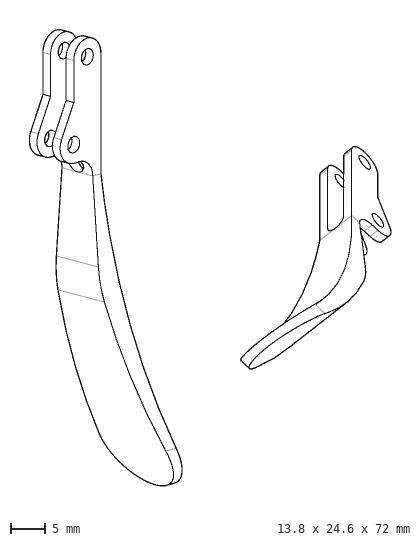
import cadquery as cq
import math

height = 71.95

fork_width = 6.3
slot_width = 3.2
fork_base_z = 50.8
web_front_y = -1.7
eye_radius = 2.84
hole_diameter = 2.45
upper_eye_y = -eye_radius
upper_eye_z = height - eye_radius
lower_eye_y = -2 * eye_radius
lower_eye_z = 56.35
flank_top_z = 62.75
lower_eye_bottom_z = lower_eye_z - eye_radius
inner_fillet_radius = lower_eye_bottom_z - fork_base_z

blade_width = 13.75
back_tip_y = 16.1
front_tip_y = 14.6
back_radius = 111.55
front_radius = 110.1
bend_top_z = 37.2
bend_bottom_z = 31.8
bend_bottom_y = -0.9


def arc_midpoint(start, end, radius):
    """Middle of the minor arc that bulges to the right of start-to-end."""
    dy = end[0] - start[0]
    dz = end[1] - start[1]
    chord = math.hypot(dy, dz)
    sagitta = radius - math.sqrt(radius**2 - (chord / 2) ** 2)
    middle_y = (start[0] + end[0]) / 2 + sagitta * dz / chord
    middle_z = (start[1] + end[1]) / 2 - sagitta * dy / chord
    return middle_y, middle_z


def make_fork():
    flank_angle = math.asin(eye_radius / (flank_top_z - lower_eye_z))
    tangent_y = lower_eye_y - eye_radius * math.cos(flank_angle)
    tangent_z = lower_eye_z + eye_radius * math.sin(flank_angle)
    middle_angle = (math.pi / 2 - flank_angle) / 2
    lower_arc_middle = (
        lower_eye_y - eye_radius * math.sin(middle_angle),
        lower_eye_z - eye_radius * math.cos(middle_angle),
    )
    plate = (
        cq.Workplane("YZ")
        .moveTo(0, fork_base_z)
        .lineTo(0, upper_eye_z)
        .threePointArc((upper_eye_y, height), (-2 * eye_radius, upper_eye_z))
        .lineTo(lower_eye_y, flank_top_z)
        .lineTo(tangent_y, tangent_z)
        .threePointArc(lower_arc_middle, (lower_eye_y, lower_eye_bottom_z))
        .lineTo(web_front_y - inner_fillet_radius, lower_eye_bottom_z)
        .tangentArcPoint((web_front_y, fork_base_z), relative=False)
        .close()
        .extrude(fork_width / 2, both=True)
    )
    holes = (
        cq.Workplane("YZ")
        .pushPoints([(upper_eye_y, upper_eye_z), (lower_eye_y, lower_eye_z)])
        .circle(hole_diameter / 2)
        .extrude(fork_width, both=True)
    )
    slot_radius = slot_width / 2
    slot_end_z = fork_base_z + slot_radius
    slot = (
        cq.Workplane("XZ")
        .moveTo(-slot_radius, height)
        .lineTo(-slot_radius, slot_end_z)
        .threePointArc((0, fork_base_z), (slot_radius, slot_end_z))
        .lineTo(slot_radius, height)
        .close()
        .extrude(height, both=True)
    )
    return plate.cut(holes).cut(slot)


def make_blade():
    back_top = (0, fork_base_z)
    back_tip = (back_tip_y, 0)
    front_tip = (front_tip_y, 0)
    bend_bottom = (bend_bottom_y, bend_bottom_z)
    profile = (
        cq.Workplane("YZ")
        .moveTo(*front_tip)
        .lineTo(*back_tip)
        .threePointArc(arc_midpoint(back_top, back_tip, back_radius), back_top)
        .lineTo(web_front_y, fork_base_z)
        .lineTo(web_front_y, bend_top_z)
        .tangentArcPoint(bend_bottom, relative=False)
        .threePointArc(arc_midpoint(bend_bottom, front_tip, front_radius), front_tip)
        .close()
        .extrude(blade_width, both=True)
    )

    tip_radius = blade_width / 2
    corner_x = fork_width / 2
    corner_height = fork_base_z - tip_radius
    corner_distance = math.hypot(corner_x, corner_height)
    tangent_angle = math.atan2(corner_height, corner_x) - math.acos(tip_radius / corner_distance)
    tangent_x = tip_radius * math.cos(tangent_angle)
    tangent_z = tip_radius + tip_radius * math.sin(tangent_angle)
    outline = (
        cq.Workplane("XZ")
        .moveTo(-corner_x, fork_base_z)
        .lineTo(-tangent_x, tangent_z)
        .threePointArc((0, 0), (tangent_x, tangent_z))
        .lineTo(corner_x, fork_base_z)
        .close()
        .extrude(height, both=True)
    )
    return profile.intersect(outline)


result = make_blade().union(make_fork())